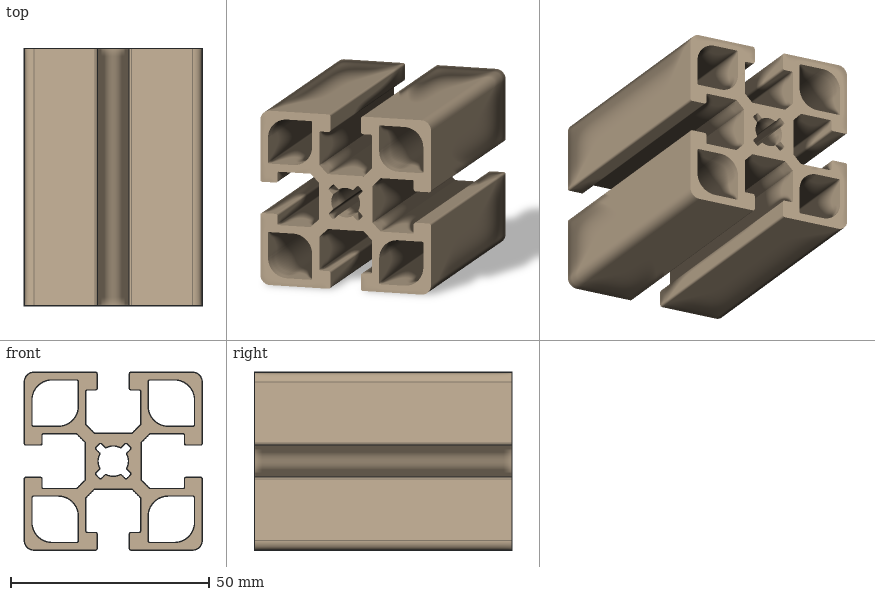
import cadquery as cq
import math

width = 45.0
length = 65.0
half_width = width / 2
corner_radius = 2.55

tolerance = 0.005

slot_opening = 8.05
slot_inner_width = 13.8
slot_depth = 15.4
slot_chamfer = 2.15
lip_thickness = 4.55
lip_radius = 0.5
slot_corner_radius = 0.3

outer_wall = 2.0
inner_wall = 1.95
cavity_radius = 5.0
cavity_side_radius = 0.3

bore_diameter = 7.6
channel_width = 1.95
channel_reach = 5.5
channel_corner_radius = 0.3
channel_mouth_radius = 0.2


def prism(sketch):
    """Extrude a profile drawn in XZ along the full length, centred on the origin."""
    return sketch.extrude(length / 2, both=True)


def profile():
    """Empty sketch plane across the bar."""
    return cq.Workplane("XZ")


def edges_where(body, condition):
    """Select the lengthwise edges whose X and Z position meets a condition."""
    edges = body.edges("|Y").vals()
    return body.newObject([edge for edge in edges if condition(edge.Center().x, edge.Center().z)])


def is_channel_mouth(x, z):
    """True where a channel side meets the bore wall."""
    on_bore_wall = abs(math.hypot(x, z) - bore_diameter / 2) < tolerance
    near_diagonal = min(abs(x), abs(z)) > channel_width / 2
    return on_bore_wall and near_diagonal


def is_lip_edge(x, z):
    """True for the edges on both faces of every slot lip."""
    return abs(min(abs(x), abs(z)) - slot_opening / 2) < tolerance


def t_slot():
    """T-slot opening upwards (+Z)."""
    half_opening = slot_opening / 2
    half_inner = slot_inner_width / 2
    lip_bottom = half_width - lip_thickness
    floor = half_width - slot_depth
    outline = [
        (half_opening, half_width),
        (half_opening, lip_bottom),
        (half_inner, lip_bottom),
        (half_inner, floor + slot_chamfer),
        (half_inner - slot_chamfer, floor),
    ]
    mirrored = [(-x, z) for x, z in reversed(outline)]
    slot = prism(profile().polyline(outline + mirrored).close())
    lip_corners = slot.edges("|Y").edges("<X or >X").edges(">Z")
    return lip_corners.fillet(slot_corner_radius)


def corner_cavity():
    """Square cavity in the +X +Z corner, rounded towards the outer corner and the axis."""
    inner = slot_inner_width / 2 + inner_wall
    outer = half_width - outer_wall
    size = outer - inner
    centre = (inner + outer) / 2
    cavity = prism(profile().center(centre, centre).rect(size, size))
    cavity = cavity.edges("<(1,0,1) or >(1,0,1)").fillet(cavity_radius)
    return cavity.edges("|Y").edges("<(1,0,-1) or >(1,0,-1)").fillet(cavity_side_radius)


def centre_bore():
    """Round bore crossed by two flat-ended diagonal channels with rounded mouths."""
    bore_radius = bore_diameter / 2
    bore = prism(profile().circle(bore_radius))
    for angle in (45, 135):
        channel = prism(profile().rect(2 * channel_reach, channel_width))
        channel = channel.edges("|Y").fillet(channel_corner_radius)
        bore = bore.union(channel.rotate((0, 0, 0), (0, 1, 0), angle))
    return edges_where(bore, is_channel_mouth).fillet(channel_mouth_radius)


body = prism(profile().rect(width, width)).edges("|Y").fillet(corner_radius)

quarter_turns = [0, 90, 180, 270]
for angle in quarter_turns:
    body = body.cut(t_slot().rotate((0, 0, 0), (0, 1, 0), angle))
body = edges_where(body, is_lip_edge).fillet(lip_radius)

for angle in quarter_turns:
    body = body.cut(corner_cavity().rotate((0, 0, 0), (0, 1, 0), angle))

result = body.cut(centre_bore())